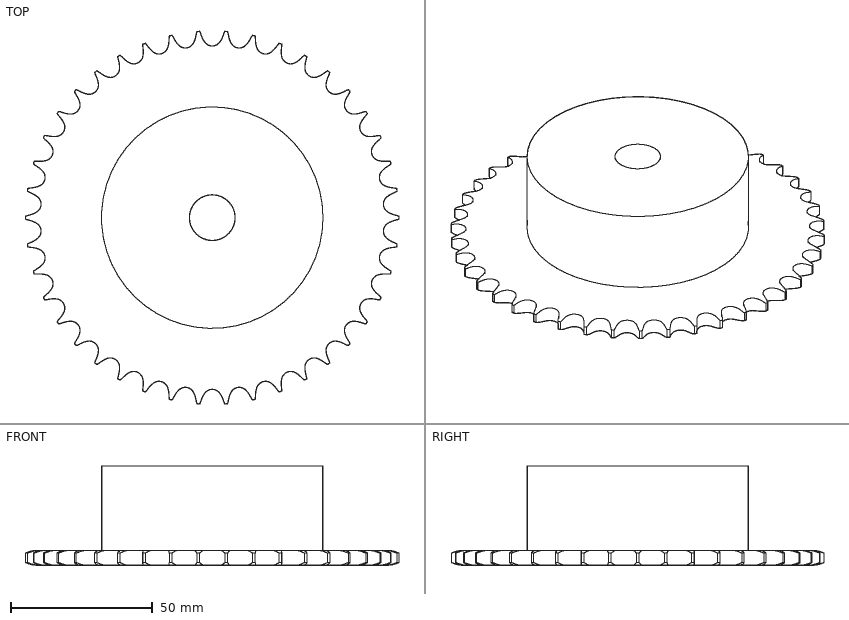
import cadquery as cq
import math

tooth_count = 42
chain_pitch = 9.525
roller_diameter = 6.35
tip_diameter = 131.6

plate_thickness = 5.3
face_diameter = 122.8
rim_radius = 10.0

hub_diameter = 78.0
total_height = 35.0
bore_diameter = 16.0

right_angle = math.pi / 2

tooth_step = 360.0 / tooth_count
half_step = math.radians(tooth_step / 2)
pitch_radius = chain_pitch / (2 * math.sin(half_step))
tip_radius = tip_diameter / 2
face_radius = face_diameter / 2

millimetres_per_inch = 25.4
seat_radius = (1.005 * roller_diameter + 0.003 * millimetres_per_inch) / 2
working_radius = 1.3025 * roller_diameter + 0.0015 * millimetres_per_inch
seat_end_angle = math.radians(35 + 60 / tooth_count)
working_sweep = math.radians(18 - 56 / tooth_count)
pressure_angle = math.radians(17 - 64 / tooth_count)
flank_angle = seat_end_angle - working_sweep
working_offset = 0.8 * roller_diameter
topping_offset = 1.4 * roller_diameter
straight_length = topping_offset * math.sin(pressure_angle) - working_offset * math.sin(working_sweep)
topping_radius = (
    working_offset * math.cos(working_sweep)
    + topping_offset * math.cos(pressure_angle)
    - working_radius
)

cut_clearance = 2.0


def polar_point(center, radius, angle):
    """Point at an angle (radians, from the first axis) on a circle."""
    return (center[0] + radius * math.cos(angle), center[1] + radius * math.sin(angle))


def make_plate_blank():
    """Disc whose sides round off towards the tooth tips."""
    rim_angle = math.asin((tip_radius - face_radius) / rim_radius)
    lower_center = (face_radius, rim_radius)
    upper_center = (face_radius, plate_thickness - rim_radius)
    return (
        cq.Workplane("XZ")
        .lineTo(face_radius, 0)
        .threePointArc(
            polar_point(lower_center, rim_radius, rim_angle / 2 - right_angle),
            polar_point(lower_center, rim_radius, rim_angle - right_angle),
        )
        .lineTo(*polar_point(upper_center, rim_radius, right_angle - rim_angle))
        .threePointArc(
            polar_point(upper_center, rim_radius, right_angle - rim_angle / 2),
            (face_radius, plate_thickness),
        )
        .lineTo(0, plate_thickness)
        .close()
        .revolve(360, (0, 0), (0, 1))
    )


def make_half_gap():
    """Half of a tooth gap on +X: roller seat, working arc, straight flank and topping arc."""
    roller_center = (pitch_radius, 0)
    seat_end_direction = right_angle + seat_end_angle
    seat_middle_direction = (math.pi + seat_end_direction) / 2
    seat_root = (pitch_radius - seat_radius, 0)
    seat_middle = polar_point(roller_center, seat_radius, seat_middle_direction)
    seat_end = polar_point(roller_center, seat_radius, seat_end_direction)

    flank_normal = right_angle + flank_angle
    working_center = polar_point(roller_center, working_offset, seat_end_direction - math.pi)
    working_middle = polar_point(working_center, working_radius, flank_normal + working_sweep / 2)
    flank_start = polar_point(working_center, working_radius, flank_normal)
    flank_end = polar_point(flank_start, straight_length, flank_angle)

    topping_center = polar_point(flank_end, topping_radius, flank_normal)
    topping_distance = math.hypot(*topping_center)
    topping_direction = math.atan2(topping_center[1], topping_center[0])
    tip_spread = math.acos(
        (tip_radius**2 + topping_distance**2 - topping_radius**2)
        / (2 * tip_radius * topping_distance)
    )
    tip = polar_point((0, 0), tip_radius, topping_direction - tip_spread)
    tip_normal = math.atan2(tip[1] - topping_center[1], tip[0] - topping_center[0])
    topping_middle_direction = (flank_normal - math.pi + tip_normal) / 2
    topping_middle = polar_point(topping_center, topping_radius, topping_middle_direction)

    outer_x = tip_radius + cut_clearance
    return (
        cq.Workplane("XY")
        .moveTo(*seat_root)
        .threePointArc(seat_middle, seat_end)
        .threePointArc(working_middle, flank_start)
        .lineTo(*flank_end)
        .threePointArc(topping_middle, tip)
        .lineTo(outer_x, tip[1])
        .lineTo(outer_x, 0)
        .close()
        .extrude(plate_thickness)
    )


def cut_teeth(blank):
    """Cut the gaps half a step off +X, which leaves a tooth centred on +X."""
    upper_half = make_half_gap()
    lower_half = upper_half.mirror("XZ")
    gap_halves = []
    for index in range(tooth_count):
        gap_angle = (index + 0.5) * tooth_step
        for half in (upper_half, lower_half):
            gap_halves.append(half.rotate((0, 0, 0), (0, 0, 1), gap_angle).val())
    return cq.Workplane(blank.val().cut(*gap_halves))


def add_hub(plate):
    hub = cq.Workplane("XY").circle(hub_diameter / 2).extrude(total_height)
    return plate.union(hub)


def cut_bore(body):
    bore = cq.Workplane("XY").circle(bore_diameter / 2).extrude(total_height)
    return body.cut(bore)


result = cut_bore(add_hub(cut_teeth(make_plate_blank())))